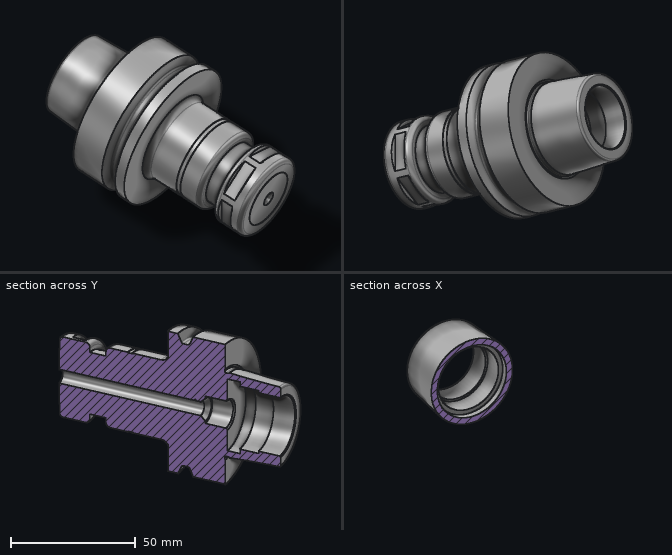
import cadquery as cq
import math

LENGTH = 100.0

SHANK_FRONT_DIA = 36.1
SHANK_REAR_DIA = 38.3
SHANK_EDGE_RADIUS = 0.9
TAPER_END_X = 23.0
RELIEF_END_X = 23.7
RELIEF_END_DIA = 37.8
NECK_START_X = 24.0
NECK_DIA = 37.7
NECK_FILLET = 0.6

FLANGE_DIA = 63.0
FLANGE_FACE_X = 25.0
FLANGE_WIDTH = 26.0
RECESS_DEPTH = 0.3
RECESS_DIA = 40.7
GROOVE_DIA = 55.0
GROOVE_CENTRE_X = 43.0
GROOVE_WIDTH = 6.8
GROOVE_WALL_ANGLE = 25.0
GROOVE_FILLET = 1.0

BODY_DIA = 36.0
BODY_END_X = 79.0
BODY_END_FILLET = 2.0
ROOT_FILLET = 3.5
ROOT_LENGTH = 3.0
RING_DIA = 35.6
RING_START_X = 67.0
RING_WIDTH = 2.0

NUT_NECK_DIA = 28.0
NUT_DIA = 36.3
NUT_START_X = 86.0
NUT_END_X = 99.9
NUT_REAR_FILLET = 2.0
NUT_FRONT_FILLET = 1.8
COLLET_DIA = 24.5

FLAT_COUNT = 6
ACROSS_FLATS = 32.8
FLAT_START_X = 89.0
FLAT_LENGTH = 5.5
FLAT_WALL_ANGLE = 15.0

BORE_DIA = 26.0
BORE_MOUTH_DIA = 26.8
BORE_LAND_END_X = 10.0
BORE_RELIEF_DIA = 28.0
BORE_RELIEF_END_X = 18.5
BORE_CHAMBER_DIA = 32.0
BORE_FLOOR_X = 24.0
COUNTERBORE_DIA = 12.0
COUNTERBORE_MOUTH_DIA = 13.3
COUNTERBORE_DEPTH = 10.0
CONE_DIA = 10.2
THROUGH_DIA = 6.0


def revolve_about_x(profile):
    """Turn a closed profile in the XY plane (y = radius) about the X axis."""
    return profile.close().revolve(360, (0, 0, 0), (1, 0, 0))


def cylinder(start_x, end_x, diameter):
    """Solid cylinder on the X axis."""
    return cq.Workplane("YZ", origin=(start_x, 0, 0)).circle(diameter / 2).extrude(end_x - start_x)


def make_shank():
    neck_radius = NECK_DIA / 2
    floor_x = FLANGE_FACE_X + RECESS_DEPTH
    profile = (
        cq.Workplane("XY")
        .moveTo(0, 0)
        .lineTo(0, SHANK_FRONT_DIA / 2 - SHANK_EDGE_RADIUS)
        .radiusArc((SHANK_EDGE_RADIUS, SHANK_FRONT_DIA / 2), SHANK_EDGE_RADIUS)
        .lineTo(TAPER_END_X, SHANK_REAR_DIA / 2)
        .lineTo(RELIEF_END_X, RELIEF_END_DIA / 2)
        .tangentArcPoint((NECK_START_X, neck_radius), relative=False)
        .lineTo(floor_x - NECK_FILLET, neck_radius)
        .radiusArc((floor_x, neck_radius + NECK_FILLET), -NECK_FILLET)
        .lineTo(floor_x, 0)
    )
    return revolve_about_x(profile)


def make_flange():
    flange = cylinder(FLANGE_FACE_X, FLANGE_FACE_X + FLANGE_WIDTH, FLANGE_DIA)
    recess = revolve_about_x(
        cq.Workplane("XY")
        .moveTo(FLANGE_FACE_X, 0)
        .lineTo(FLANGE_FACE_X + RECESS_DEPTH, 0)
        .lineTo(FLANGE_FACE_X + RECESS_DEPTH, NECK_DIA / 2 + NECK_FILLET)
        .lineTo(FLANGE_FACE_X, RECESS_DIA / 2)
    )
    depth = (FLANGE_DIA - GROOVE_DIA) / 2
    floor_half = GROOVE_WIDTH / 2 - depth * math.tan(math.radians(GROOVE_WALL_ANGLE))
    groove = revolve_about_x(
        cq.Workplane("XY")
        .moveTo(GROOVE_CENTRE_X - GROOVE_WIDTH / 2, FLANGE_DIA / 2)
        .lineTo(GROOVE_CENTRE_X - floor_half, GROOVE_DIA / 2)
        .lineTo(GROOVE_CENTRE_X + floor_half, GROOVE_DIA / 2)
        .lineTo(GROOVE_CENTRE_X + GROOVE_WIDTH / 2, FLANGE_DIA / 2)
    )
    groove = groove.edges(cq.selectors.RadiusNthSelector(0)).fillet(GROOVE_FILLET)
    return flange.cut(recess).cut(groove)


def make_body():
    root_x = FLANGE_FACE_X + FLANGE_WIDTH
    body = cylinder(root_x, BODY_END_X, BODY_DIA).faces(">X").edges().fillet(BODY_END_FILLET)
    root_rise = ROOT_FILLET - math.sqrt(ROOT_FILLET**2 - ROOT_LENGTH**2)
    root = revolve_about_x(
        cq.Workplane("XY")
        .moveTo(root_x, 0)
        .lineTo(root_x, BODY_DIA / 2 + root_rise)
        .radiusArc((root_x + ROOT_LENGTH, BODY_DIA / 2), -ROOT_FILLET)
        .lineTo(root_x + ROOT_LENGTH, 0)
    )
    ring_end_x = RING_START_X + RING_WIDTH
    ring = cylinder(RING_START_X, ring_end_x, BODY_DIA).cut(cylinder(RING_START_X, ring_end_x, RING_DIA))
    return body.union(root).cut(ring)


def make_nut():
    nut = cylinder(NUT_START_X, NUT_END_X, NUT_DIA)
    nut = nut.faces("<X").edges().fillet(NUT_REAR_FILLET)
    nut = nut.faces(">X").edges().fillet(NUT_FRONT_FILLET)
    flat_end_x = FLAT_START_X + FLAT_LENGTH
    wall_height = NUT_DIA / 2
    wall_run = wall_height * math.tan(math.radians(FLAT_WALL_ANGLE))
    flat_y = ACROSS_FLATS / 2
    cutter = (
        cq.Workplane("XY")
        .moveTo(FLAT_START_X, flat_y)
        .lineTo(flat_end_x, flat_y)
        .lineTo(flat_end_x + wall_run, flat_y + wall_height)
        .lineTo(FLAT_START_X - wall_run, flat_y + wall_height)
        .close()
        .extrude(NUT_DIA / 2, both=True)
    )
    for index in range(FLAT_COUNT):
        nut = nut.cut(cutter.rotate((0, 0, 0), (1, 0, 0), index * 360 / FLAT_COUNT))
    neck = cylinder(BODY_END_X, NUT_START_X, NUT_NECK_DIA)
    collet = cylinder(NUT_END_X, LENGTH, COLLET_DIA)
    return nut.union(neck).union(collet)


def make_bore():
    mouth_chamfer = (BORE_MOUTH_DIA - BORE_DIA) / 2
    hole_chamfer = (COUNTERBORE_MOUTH_DIA - COUNTERBORE_DIA) / 2
    cone_x = BORE_FLOOR_X + COUNTERBORE_DEPTH
    cone_depth = (CONE_DIA - THROUGH_DIA) / 2
    profile = (
        cq.Workplane("XY")
        .moveTo(0, 0)
        .lineTo(0, BORE_MOUTH_DIA / 2)
        .lineTo(mouth_chamfer, BORE_DIA / 2)
        .lineTo(BORE_LAND_END_X, BORE_DIA / 2)
        .lineTo(BORE_LAND_END_X, BORE_RELIEF_DIA / 2)
        .lineTo(BORE_RELIEF_END_X, BORE_RELIEF_DIA / 2)
        .lineTo(BORE_RELIEF_END_X, BORE_CHAMBER_DIA / 2)
        .lineTo(BORE_FLOOR_X, BORE_CHAMBER_DIA / 2)
        .lineTo(BORE_FLOOR_X, COUNTERBORE_MOUTH_DIA / 2)
        .lineTo(BORE_FLOOR_X + hole_chamfer, COUNTERBORE_DIA / 2)
        .lineTo(cone_x, COUNTERBORE_DIA / 2)
        .lineTo(cone_x, CONE_DIA / 2)
        .lineTo(cone_x + cone_depth, THROUGH_DIA / 2)
        .lineTo(LENGTH, THROUGH_DIA / 2)
        .lineTo(LENGTH, 0)
    )
    return revolve_about_x(profile)


result = make_shank().union(make_flange()).union(make_body()).union(make_nut()).cut(make_bore())